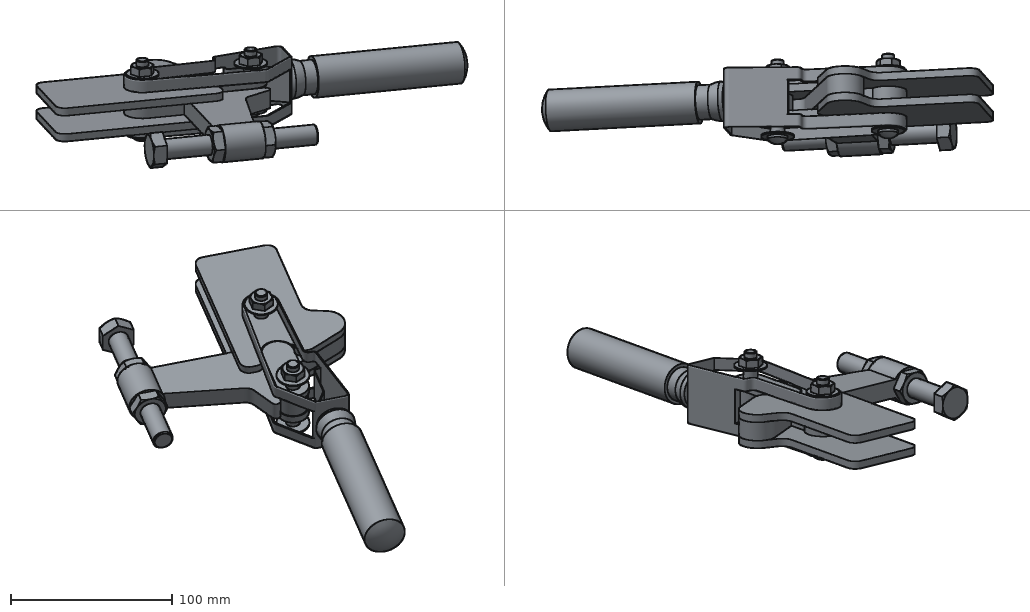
import cadquery as cq
import math

ARM_THICKNESS = 12.0
PLATE_THICKNESS = 5.0
FRAME_WIDTH = 38.0
SLOT_WIDTH = 22.2
PLATE_INNER_Z = ARM_THICKNESS / 2
PLATE_OUTER_Z = PLATE_INNER_Z + PLATE_THICKNESS
FRAME_TOP_Z = FRAME_WIDTH / 2

CORNER_RADIUS = 6.0
BLEND_RADIUS = 7.5
SHORTEST_EDGE = 0.0003

HEXAGON_CHAMFER_ANGLE = 30.0

UPPER_PIVOT_Y = 70.3
PIN_RADIUS = 4.5
THREAD_RADIUS = 4.0
WASHER_RADIUS = 10.3
WASHER_THICKNESS = 0.8
PIN_NUT_FLATS = 13.0
PIN_NUT_HEIGHT = 5.3
PIN_TOP_Z = 29.0
PIN_HEAD_RADIUS = 6.5
PIN_HEAD_RIM = 1.7
PIN_BOTTOM_Z = -24.5
THREAD_CHAMFER = 0.5

BASE_LEFT = -26.5
BASE_RIGHT = 25.8
BASE_BOTTOM = -62.2
BASE_TOP = 46.0
BASE_PEAK_RADIUS = 8.0
LOBE_RADIUS = 11.7
LOBE_CENTER = (-36.5, 19.5)
LOBE_UPPER_ANGLE = 27.0
LOBE_LOWER_ANGLE = -19.5

LINK_RADIUS = 10.0
LINK_LOWER_Y = 37.2
LINK_HUB_RADIUS = 9.5
SOCKET_CLEARANCE = 0.5
SOCKET_RADIUS = LINK_RADIUS + SOCKET_CLEARANCE

ARM_PIVOT_RADIUS = 11.5
ARM_WAIST_LEFT = -8.0
ARM_BOTTOM = 24.0
ARM_NOSE_LEFT = 9.7
ARM_NOSE_TOP = 89.0
ARM_NOSE_RADIUS = 3.0
ARM_SHOULDER = (24.5, 59.5)
ARM_TIP_Y = 47.8
BOSS_X = 88.4
BOSS_RADIUS = 11.7
BOSS_LENGTH = 26.0
BOSS_TOP = ARM_BOTTOM + BOSS_LENGTH

SPINDLE_RADIUS = 6.5
SPINDLE_TOP = 85.9
SPINDLE_CHAMFER = 0.8
SPINDLE_NUT_FLATS = 20.0
SPINDLE_NUT_HEIGHT = 7.0
SPINDLE_HEAD_TOP = -13.5
SPINDLE_HEAD_HEIGHT = 8.5

SHEET = 1.0
FRAME_END_Y = 99.0
FRAME_END_LEFT = -29.5
FRAME_END_RIGHT = -6.0
FRAME_PIVOT_RADIUS = 11.5
FRAME_BEND = (14.5, 77.0)
FRAME_BEND_RADIUS = 4.2
FRAME_STEP_Y = 51.0
FRAME_STEP_OUTER_X = -20.3
FRAME_STEP_INNER_X = -13.5
FRAME_STEP_RADIUS = 2.8
FRAME_CORNER_RADIUS = 3.3
FRAME_EDGE_RADIUS = 0.8
WEB_THICKNESS = 0.5
SLOT_TOP = (-6.5, 97.5)
SLOT_LEFT = -16.5
SLOT_KNEE_Y = 81.0
SLOT_END_Y = 59.2
SLOT_END_RADIUS = 2.5
SLOT_OVERRUN = 33.3
GRIP_X = -18.3
GRIP_RADIUS = 13.0
GRIP_BOTTOM = 116.1
GRIP_SHOULDER = 211.0
GRIP_TIP = 215.5
NECK_RADIUS = 10.8
NECK_BOTTOM = 108.5
COLLAR_RADIUS = 12.5
COLLAR_WIDEST_Y = 101.7
COLLAR_END_RADIUS = 11.5
COLLAR_FLARE_MIDDLE = (12.0, 105.3)


def rounded_outline(corners):
    """Closed wire through corners (x, y, radius), each corner rounded by a tangent arc."""
    arcs = []
    for i, (x, y, radius) in enumerate(corners):
        corner = cq.Vector(x, y)
        to_previous = (cq.Vector(*corners[i - 1][:2]) - corner).normalized()
        to_next = (cq.Vector(*corners[(i + 1) % len(corners)][:2]) - corner).normalized()
        half_angle = to_previous.getAngle(to_next) / 2
        setback = radius / math.tan(half_angle)
        bisector = (to_previous + to_next).normalized()
        middle = corner + bisector * (radius / math.sin(half_angle) - radius)
        arcs.append((corner + to_previous * setback, middle, corner + to_next * setback))
    edges = []
    for i, (start, middle, end) in enumerate(arcs):
        previous_end = arcs[i - 1][2]
        if (start - previous_end).Length > SHORTEST_EDGE:
            edges.append(cq.Edge.makeLine(previous_end, start))
        if (end - start).Length > SHORTEST_EDGE:
            edges.append(cq.Edge.makeThreePointArc(start, middle, end))
    return cq.Wire.assembleEdges(edges)


def slab(wire, bottom_z, height):
    """Solid of the given height above a closed wire."""
    solid = cq.Solid.extrudeLinear(wire, [], cq.Vector(0, 0, height))
    return cq.Workplane(solid.translate((0, 0, bottom_z)))


def cylinder(x, y, radius, bottom_z, top_z):
    return cq.Workplane("XY", origin=(x, y, bottom_z)).circle(radius).extrude(top_z - bottom_z)


def cylinder_y(x, radius, bottom_y, top_y):
    """Cylinder along Y on the mid-plane."""
    return cq.Workplane("XZ", origin=(x, bottom_y, 0)).circle(radius).extrude(bottom_y - top_y)


def mirrored_plates(wire):
    """The two plates of the given outline, above and below the arm."""
    upper = slab(wire, PLATE_INNER_Z, PLATE_THICKNESS)
    lower = slab(wire, -PLATE_OUTER_Z, PLATE_THICKNESS)
    return upper.add(lower).combine()


def hexagon(flats, height, turn):
    """Hexagonal prism standing on the origin along +Z, its top corners chamfered."""
    corner_radius = flats / math.sqrt(3)
    corner_cut = corner_radius - flats / 2
    chamfer_slope = math.tan(math.radians(HEXAGON_CHAMFER_ANGLE))
    prism = cq.Workplane("XY").polygon(6, 2 * corner_radius).extrude(height)
    prism = prism.rotate((0, 0, 0), (0, 0, 1), turn)
    envelope = cq.Workplane("XY").circle(corner_radius).extrude(height)
    envelope = envelope.faces(">Z").chamfer(corner_cut * chamfer_slope, corner_cut)
    return prism.intersect(envelope)


def dome_middle(rim_radius, height):
    """Distance from the axis and drop below the tip, halfway along the arc of a spherical dome."""
    sphere_radius = (rim_radius**2 + height**2) / (2 * height)
    half_angle = math.asin(rim_radius / sphere_radius) / 2
    return sphere_radius * math.sin(half_angle), sphere_radius * (1 - math.cos(half_angle))


def pivot_pin(y):
    """Pin with two washers, a nut on top and a domed head below."""
    washer_top = FRAME_TOP_Z + WASHER_THICKNESS
    pin = cylinder(0, y, PIN_RADIUS, -FRAME_TOP_Z, FRAME_TOP_Z)
    thread = cylinder(0, y, THREAD_RADIUS, FRAME_TOP_Z, PIN_TOP_Z)
    pin = pin.union(thread.faces(">Z").chamfer(THREAD_CHAMFER))
    pin = pin.union(cylinder(0, y, WASHER_RADIUS, FRAME_TOP_Z, washer_top))
    pin = pin.union(cylinder(0, y, WASHER_RADIUS, -washer_top, -FRAME_TOP_Z))
    pin = pin.union(hexagon(PIN_NUT_FLATS, PIN_NUT_HEIGHT, 90).translate((0, y, washer_top)))
    rim_z = -washer_top - PIN_HEAD_RIM
    dome_x, dome_drop = dome_middle(PIN_HEAD_RADIUS, rim_z - PIN_BOTTOM_Z)
    head = (
        cq.Workplane("XZ")
        .moveTo(0, -washer_top)
        .lineTo(PIN_HEAD_RADIUS, -washer_top)
        .lineTo(PIN_HEAD_RADIUS, rim_z)
        .threePointArc((dome_x, PIN_BOTTOM_Z + dome_drop), (0, PIN_BOTTOM_Z))
        .close()
        .revolve(360, (0, 0, 0), (0, 1, 0))
    )
    return pin.union(head.translate((0, y, 0)))


UPPER_SLOPE = math.tan(math.radians(LOBE_UPPER_ANGLE))
LOWER_SLOPE = math.tan(math.radians(LOBE_LOWER_ANGLE))


def lobe_upper_edge_y(x):
    """Height of the sloping edge tangent to the top of the lobe."""
    lobe_x, lobe_y = LOBE_CENTER
    return lobe_y + LOBE_RADIUS / math.cos(math.radians(LOBE_UPPER_ANGLE)) + UPPER_SLOPE * (x - lobe_x)


def lobe_lower_edge_y(x, angle):
    """Height of the edge at the given angle tangent to the bottom of the lobe."""
    lobe_x, lobe_y = LOBE_CENTER
    slope = math.tan(math.radians(angle))
    return lobe_y - LOBE_RADIUS / math.cos(math.radians(angle)) + slope * (x - lobe_x)


def make_base():
    edge_gap = lobe_upper_edge_y(0) - lobe_lower_edge_y(0, LOBE_LOWER_ANGLE)
    lobe_tip_x = -edge_gap / (UPPER_SLOPE - LOWER_SLOPE)
    outline = rounded_outline([
        (BASE_LEFT, BASE_BOTTOM, CORNER_RADIUS),
        (BASE_RIGHT, BASE_BOTTOM, CORNER_RADIUS),
        (BASE_RIGHT, BASE_TOP, CORNER_RADIUS),
        (SOCKET_RADIUS, BASE_TOP, CORNER_RADIUS),
        (SOCKET_RADIUS, LINK_LOWER_Y - SOCKET_RADIUS, SOCKET_RADIUS),
        (-SOCKET_RADIUS, LINK_LOWER_Y - SOCKET_RADIUS, SOCKET_RADIUS),
        (-SOCKET_RADIUS, lobe_upper_edge_y(-SOCKET_RADIUS), BASE_PEAK_RADIUS),
        (lobe_tip_x, lobe_upper_edge_y(lobe_tip_x), LOBE_RADIUS),
        (BASE_LEFT, lobe_lower_edge_y(BASE_LEFT, LOBE_LOWER_ANGLE), BLEND_RADIUS),
    ])
    return mirrored_plates(outline).union(pivot_pin(0))


def make_link():
    outline = rounded_outline([
        (-LINK_RADIUS, LINK_LOWER_Y - LINK_RADIUS, LINK_RADIUS),
        (LINK_RADIUS, LINK_LOWER_Y - LINK_RADIUS, LINK_RADIUS),
        (LINK_RADIUS, UPPER_PIVOT_Y + LINK_RADIUS, LINK_RADIUS),
        (-LINK_RADIUS, UPPER_PIVOT_Y + LINK_RADIUS, LINK_RADIUS),
    ])
    hub = cylinder(0, UPPER_PIVOT_Y, LINK_HUB_RADIUS, -PLATE_INNER_Z, PLATE_INNER_Z)
    return mirrored_plates(outline).union(hub).union(pivot_pin(UPPER_PIVOT_Y))


def make_arm():
    lobe_x, lobe_y = LOBE_CENTER
    slope_angle = math.radians(LOBE_UPPER_ANGLE)
    tip_x = -LOBE_RADIUS * math.cos(slope_angle)
    tip_y = -LOBE_RADIUS * math.sin(slope_angle)
    across_x = -LOBE_RADIUS * math.sin(slope_angle)
    across_y = LOBE_RADIUS * math.cos(slope_angle)
    outline = rounded_outline([
        (ARM_WAIST_LEFT, 0, 0),
        (ARM_PIVOT_RADIUS, 0, 0),
        (ARM_PIVOT_RADIUS, ARM_BOTTOM, 0),
        (BOSS_X, ARM_BOTTOM, 0),
        (BOSS_X, ARM_TIP_Y, 0),
        (*ARM_SHOULDER, BLEND_RADIUS),
        (ARM_NOSE_LEFT, ARM_NOSE_TOP, ARM_NOSE_RADIUS),
        (ARM_NOSE_LEFT, lobe_upper_edge_y(ARM_NOSE_LEFT), CORNER_RADIUS),
        (lobe_x + tip_x + across_x, lobe_y + tip_y + across_y, LOBE_RADIUS),
        (lobe_x + tip_x - across_x, lobe_y + tip_y - across_y, LOBE_RADIUS),
        (ARM_WAIST_LEFT, lobe_lower_edge_y(ARM_WAIST_LEFT, LOBE_UPPER_ANGLE), 0),
    ])
    arm = slab(outline, -PLATE_INNER_Z, ARM_THICKNESS)
    arm = arm.union(cylinder(0, 0, ARM_PIVOT_RADIUS, -PLATE_INNER_Z, PLATE_INNER_Z))
    arm = arm.union(cylinder_y(BOSS_X, BOSS_RADIUS, ARM_BOTTOM, BOSS_TOP))
    arm = arm.cut(cylinder(0, 0, PIN_RADIUS, -PLATE_INNER_Z, PLATE_INNER_Z))
    return arm.cut(cylinder_y(BOSS_X, SPINDLE_RADIUS, ARM_BOTTOM, BOSS_TOP))


def make_spindle():
    def toward_plus_y(nut, bottom_y):
        return nut.rotate((0, 0, 0), (1, 0, 0), -90).translate((BOSS_X, bottom_y, 0))

    def toward_minus_y(nut, top_y):
        return nut.rotate((0, 0, 0), (1, 0, 0), 90).translate((BOSS_X, top_y, 0))

    nut = hexagon(SPINDLE_NUT_FLATS, SPINDLE_NUT_HEIGHT, 0)
    head = hexagon(SPINDLE_NUT_FLATS, SPINDLE_HEAD_HEIGHT, 90)
    shank = cylinder_y(BOSS_X, SPINDLE_RADIUS, SPINDLE_HEAD_TOP, SPINDLE_TOP)
    spindle = shank.faces(">Y").chamfer(SPINDLE_CHAMFER)
    spindle = spindle.union(toward_plus_y(nut, BOSS_TOP))
    spindle = spindle.union(toward_minus_y(nut, ARM_BOTTOM))
    return spindle.union(toward_minus_y(head, SPINDLE_HEAD_TOP))


def make_frame():
    outline = rounded_outline([
        (-FRAME_PIVOT_RADIUS, -FRAME_PIVOT_RADIUS, FRAME_PIVOT_RADIUS),
        (FRAME_PIVOT_RADIUS, -FRAME_PIVOT_RADIUS, FRAME_PIVOT_RADIUS),
        (*FRAME_BEND, FRAME_BEND_RADIUS),
        (FRAME_END_RIGHT, FRAME_END_Y, SHEET),
        (FRAME_END_LEFT, FRAME_END_Y, FRAME_CORNER_RADIUS),
        (FRAME_STEP_OUTER_X, FRAME_STEP_Y, FRAME_STEP_RADIUS),
        (FRAME_STEP_INNER_X, FRAME_STEP_Y, FRAME_STEP_RADIUS),
    ])
    outer = slab(outline, -FRAME_TOP_Z, FRAME_WIDTH)
    outer = outer.faces("|Z").edges().fillet(FRAME_EDGE_RADIUS)
    inner = slab(outline.offset2D(-SHEET)[0], -FRAME_TOP_Z, FRAME_WIDTH)
    slot_outline = rounded_outline([
        (*SLOT_TOP, 0),
        (SLOT_LEFT, SLOT_KNEE_Y, 0),
        (SLOT_LEFT, SLOT_END_Y, SLOT_END_RADIUS),
        (-SLOT_OVERRUN, SLOT_END_Y, 0),
        (-SLOT_OVERRUN, -SLOT_OVERRUN, 0),
        (SLOT_OVERRUN, -SLOT_OVERRUN, 0),
        (SLOT_OVERRUN, SLOT_TOP[1], 0),
    ])
    slot = slab(slot_outline, -SLOT_WIDTH / 2, SLOT_WIDTH)
    web = slab(slot_outline.offset2D(WEB_THICKNESS)[0], -SLOT_WIDTH / 2, SLOT_WIDTH).intersect(outer)
    return outer.cut(inner).union(web).cut(slot)


def make_handle():
    dome_x, dome_drop = dome_middle(GRIP_RADIUS, GRIP_TIP - GRIP_SHOULDER)
    grip = (
        cq.Workplane("XY")
        .moveTo(0, FRAME_END_Y)
        .lineTo(COLLAR_END_RADIUS, FRAME_END_Y)
        .lineTo(COLLAR_RADIUS, COLLAR_WIDEST_Y)
        .threePointArc(COLLAR_FLARE_MIDDLE, (NECK_RADIUS, NECK_BOTTOM))
        .lineTo(NECK_RADIUS, GRIP_BOTTOM)
        .lineTo(GRIP_RADIUS, GRIP_BOTTOM)
        .lineTo(GRIP_RADIUS, GRIP_SHOULDER)
        .threePointArc((dome_x, GRIP_TIP - dome_drop), (0, GRIP_TIP))
        .close()
        .revolve(360, (0, 0, 0), (0, 1, 0))
    )
    return make_frame().union(grip.translate((GRIP_X, 0, 0)))


base = make_base()
link = make_link()
arm = make_arm()
spindle = make_spindle()
handle = make_handle()

bodies = [base, link, arm, spindle, handle]
result = cq.Compound.makeCompound([body.solids().val() for body in bodies])